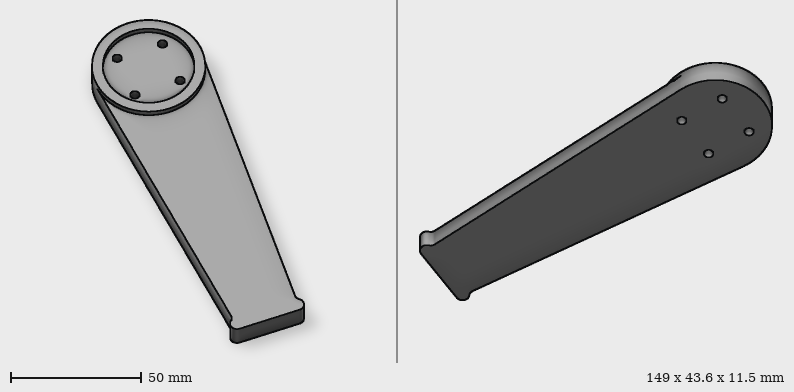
import cadquery as cq
import math

total_length = 149.0
hub_radius = 21.8
hub_height = 11.5
arm_height = 9.1
recess_radius = 17.6
hole_diameter = 3.6
hole_spacing = 18.6

taper_angle = 4.1
ear_radius = 2.7
ear_center_y = 12.4
neck_radius = 2.4

end_x = total_length - hub_radius
ear_center = (end_x - ear_radius, ear_center_y)
recess_depth = hub_height - arm_height
taper = math.radians(taper_angle)


def point_at(center, radius, angle):
    """Point at the given angle on a circle."""
    return (center[0] + radius * math.cos(angle), center[1] + radius * math.sin(angle))


def point_by_side(along, outward):
    """Point measured from the hub axis, along the tapered +Y side and square to it."""
    return (
        along * math.cos(taper) + outward * math.sin(taper),
        outward * math.cos(taper) - along * math.sin(taper),
    )


def mirrored(point):
    """The same point on the -Y half of the arm."""
    return (point[0], -point[1])


def neck_along_side():
    """Distance along the side at which the neck round starts, so that it also touches the ear."""
    ear_x, ear_y = ear_center
    ear_along = ear_x * math.cos(taper) - ear_y * math.sin(taper)
    ear_outward = ear_x * math.sin(taper) + ear_y * math.cos(taper)
    center_distance = ear_radius + neck_radius
    outward_gap = hub_radius + neck_radius - ear_outward
    return ear_along - math.sqrt(center_distance**2 - outward_gap**2)


def make_tapered_arm():
    """Flat arm that starts at the hub wall; its tangent sides end in a concave neck and a round ear."""
    neck_along = neck_along_side()
    neck_center = point_by_side(neck_along, hub_radius + neck_radius)
    ear_to_neck_angle = math.atan2(neck_center[1] - ear_center[1], neck_center[0] - ear_center[0])
    neck_start_angle = -math.pi / 2 - taper
    neck_end_angle = ear_to_neck_angle - math.pi

    hub_tangent = point_by_side(0, hub_radius)
    neck_start = point_by_side(neck_along, hub_radius)
    neck_middle = point_at(neck_center, neck_radius, (neck_start_angle + neck_end_angle) / 2)
    ear_start = point_at(ear_center, ear_radius, ear_to_neck_angle)
    ear_middle = point_at(ear_center, ear_radius, ear_to_neck_angle / 2)
    ear_end = point_at(ear_center, ear_radius, 0)

    return (
        cq.Workplane("XY")
        .moveTo(*hub_tangent)
        .lineTo(*neck_start)
        .threePointArc(neck_middle, ear_start)
        .threePointArc(ear_middle, ear_end)
        .lineTo(*mirrored(ear_end))
        .threePointArc(mirrored(ear_middle), mirrored(ear_start))
        .threePointArc(mirrored(neck_middle), mirrored(neck_start))
        .lineTo(*mirrored(hub_tangent))
        .threePointArc((hub_radius, 0), hub_tangent)
        .close()
        .extrude(arm_height)
    )


def make_hub():
    """Round hub that stands above the arm."""
    return cq.Workplane("XY").circle(hub_radius).extrude(hub_height)


def make_recess():
    """Shallow round recess in the top of the hub."""
    return cq.Workplane("XY").workplane(offset=arm_height).circle(recess_radius).extrude(recess_depth)


def make_holes():
    """Square pattern of four holes through the recess floor."""
    return (
        cq.Workplane("XY")
        .rect(hole_spacing, hole_spacing, forConstruction=True)
        .vertices()
        .circle(hole_diameter / 2)
        .extrude(arm_height)
    )


lever = make_hub().union(make_tapered_arm()).cut(make_recess()).cut(make_holes())

result = cq.Compound.makeCompound([lever.solids().val()])